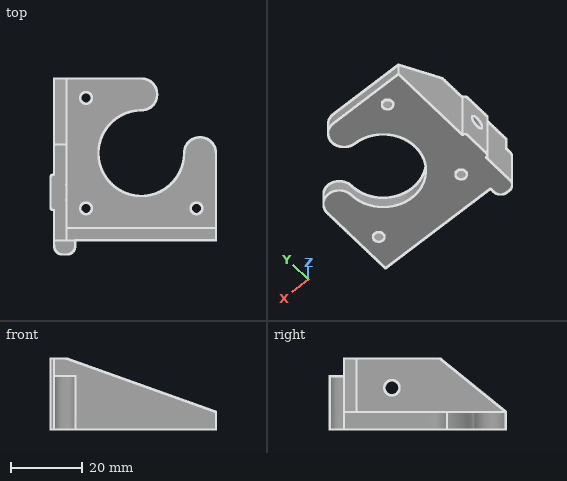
import cadquery as cq
import math

wall = 3.5
motor_size = 42.0
side = wall + motor_size
center = wall + motor_size / 2
plate_thickness = 5.0
bore_radius = 12.0
screw_spacing = 31.0
screw_diameter = 3.2

wall_height = 20.0
ridge_length = 27.0

pad_depth = 1.0
pad_center_y = ridge_length / 2
pad_width = 10
pad_radius = 0.8
pad_hole_diameter = 4.2
pad_hole_height = 11.75

post_width = 6.0
post_depth = 4.0
post_height = 15.0
post_radius = 2.5


def make_plate():
    """Square plate whose far corner is opened into two round-ended arms."""
    bore_edge = center + bore_radius
    arm_radius = (side - bore_edge) / 2
    arm_middle = bore_edge + arm_radius
    bore_mid = center - bore_radius * math.sqrt(0.5)
    plate = (
        cq.Workplane("XY")
        .lineTo(side, 0)
        .lineTo(side, center)
        .threePointArc((arm_middle, center + arm_radius), (bore_edge, center))
        .threePointArc((bore_mid, bore_mid), (center, bore_edge))
        .threePointArc((center + arm_radius, arm_middle), (center, side))
        .lineTo(0, side)
        .close()
        .extrude(plate_thickness)
    )
    return plate


def make_left_wall():
    """Wall along Y, sloping down to the plate at its far end."""
    return (
        cq.Workplane("YZ")
        .polyline([
            (0, 0),
            (side, 0),
            (side, plate_thickness),
            (ridge_length, wall_height),
            (0, wall_height),
        ])
        .close()
        .extrude(wall)
    )


def make_front_wall():
    """Wall along X, sloping down from the left wall to the plate edge."""
    return (
        cq.Workplane("XZ")
        .polyline([
            (0, 0),
            (side, 0),
            (side, plate_thickness),
            (wall, wall_height),
            (0, wall_height),
        ])
        .close()
        .extrude(-wall)
    )


def make_pad():
    """Full-height pad with rounded long edges on the left wall's outer face."""
    pad = cq.Workplane("XY").box(
        pad_depth + wall, pad_width, wall_height, centered=False
    )
    pad = pad.translate((-pad_depth, pad_center_y - pad_width / 2, 0))
    return pad.edges("|Z and <X").fillet(pad_radius)


def make_post():
    """Post standing in front of the corner, its two front edges rounded."""
    post = cq.Workplane("XY").box(
        post_width, post_depth + wall, post_height, centered=False
    )
    return post.translate((0, -post_depth, 0)).edges("|Z and <Y").fillet(post_radius)


def make_screw_holes():
    """Three screw holes; the opened corner of the plate has none."""
    near = center - screw_spacing / 2
    far = center + screw_spacing / 2
    return (
        cq.Workplane("XY")
        .pushPoints([(near, near), (far, near), (near, far)])
        .circle(screw_diameter / 2)
        .extrude(plate_thickness)
    )


def make_pad_hole():
    """Cross hole along X through the pad and the left wall."""
    return (
        cq.Workplane("YZ", origin=(-pad_depth, 0, 0))
        .center(pad_center_y, pad_hole_height)
        .circle(pad_hole_diameter / 2)
        .extrude(pad_depth + wall)
    )


result = (
    make_plate()
    .union(make_left_wall())
    .union(make_front_wall())
    .union(make_pad())
    .union(make_post())
    .cut(make_screw_holes())
    .cut(make_pad_hole())
)